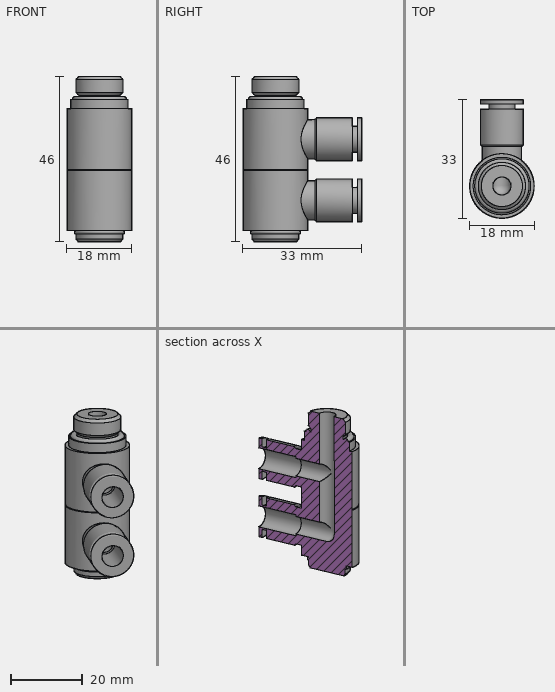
import cadquery as cq

total_height = 46.0
body_diameter = 18.0
body_bottom = 3.1
body_top = 37.0
joint_chamfer = 0.12

thread_diameter = 13.16
thread_root_diameter = 11.45
thread_chamfer = (thread_diameter - thread_root_diameter) / 2
thread_bottom = 41.55

plug_diameter = 13.1
plug_chamfer_height = 0.8
plug_chamfer_depth = 0.65

collar_diameter = 16.0
collar_top = 39.6

upper_ring_tube_radius = 0.95
upper_ring_outer_diameter = 15.15
upper_ring_top = 40.45
lower_ring_tube_radius = 0.5
lower_ring_outer_diameter = 14.0

outlet_pitch = 17.0
lower_outlet_z = 11.5
joint_z = lower_outlet_z + outlet_pitch / 2
outlet_heights = [lower_outlet_z, lower_outlet_z + outlet_pitch]
outlet_end = 24.0
flange_thickness = 1.2
sleeve_gap = 1.4
outlet_diameter = 12.0
sleeve_diameter = 7.3
outlet_neck_diameter = 11.0
outlet_shoulder = 10.95
outlet_chamfer = (outlet_diameter - outlet_neck_diameter) / 2
edge_fillet = 0.12

bore_diameter = 5.0
tube_diameter = 6.0


def cylinder_z(diameter, bottom, top):
    """Cylinder on the main axis between two heights."""
    return cq.Workplane("XY").workplane(offset=bottom).circle(diameter / 2).extrude(top - bottom)


def cylinder_y(diameter, height, start, end):
    """Cylinder along +Y at the given height between two Y positions."""
    plane = cq.Plane(origin=(0, start, height), xDir=(1, 0, 0), normal=(0, 1, 0))
    return cq.Workplane(plane).circle(diameter / 2).extrude(end - start)


def sealing_ring(outer_diameter, tube_radius, center_z):
    """O-ring of circular section around the main axis."""
    ring_radius = outer_diameter / 2 - tube_radius
    section_plane = cq.Plane(origin=(ring_radius, 0, center_z), xDir=(0, 0, 1), normal=(0, -1, 0))
    section = cq.Workplane(section_plane).circle(tube_radius)
    return section.revolve(360, (0, ring_radius), (1, ring_radius))


def make_main_body():
    """Two stacked sleeves with a fine V groove between them, the bottom plug and the threaded spigot."""
    lower_sleeve = cylinder_z(body_diameter, body_bottom, joint_z)
    lower_sleeve = lower_sleeve.faces(">Z").chamfer(joint_chamfer)
    upper_sleeve = cylinder_z(body_diameter, joint_z, body_top)
    upper_sleeve = upper_sleeve.faces("<Z").chamfer(joint_chamfer)
    plug = cylinder_z(plug_diameter, 0, body_bottom)
    plug = plug.faces("<Z").chamfer(plug_chamfer_height, plug_chamfer_depth)
    collar = cylinder_z(collar_diameter, body_top, collar_top)
    neck = cylinder_z(thread_root_diameter, body_top, total_height)
    thread = cylinder_z(thread_diameter, thread_bottom - thread_chamfer, total_height)
    thread = thread.faces("<Z or >Z").chamfer(thread_chamfer)
    upper_ring = sealing_ring(
        upper_ring_outer_diameter, upper_ring_tube_radius, upper_ring_top - upper_ring_tube_radius
    )
    lower_ring = sealing_ring(
        lower_ring_outer_diameter, lower_ring_tube_radius, body_bottom - lower_ring_tube_radius
    )
    body = lower_sleeve
    for piece in (upper_sleeve, plug, collar, neck, thread, upper_ring, lower_ring):
        body = body.union(piece)
    return body


def make_outlet(height):
    """Push-in outlet: neck, chamfered housing, release sleeve and its flange."""
    flange_start = outlet_end - flange_thickness
    housing_end = flange_start - sleeve_gap
    neck = cylinder_y(outlet_neck_diameter, height, 0, housing_end)
    housing = cylinder_y(outlet_diameter, height, outlet_shoulder, housing_end)
    housing = housing.faces("<Y").chamfer(outlet_chamfer)
    housing = housing.faces(">Y").edges().fillet(edge_fillet)
    sleeve = cylinder_y(sleeve_diameter, height, housing_end, flange_start)
    flange = cylinder_y(outlet_diameter, height, flange_start, outlet_end)
    flange = flange.faces(">Y").edges().fillet(edge_fillet)
    flange_back = cq.selectors.NearestToPointSelector((0, flange_start, height))
    root_edge = cq.selectors.RadiusNthSelector(0)
    flanged_sleeve = flange.union(sleeve).faces(flange_back).edges(root_edge).fillet(edge_fillet)
    return neck.union(housing).union(flanged_sleeve)


def make_outlet_passage(height):
    """Cross bore from the main axis that opens into the tube socket."""
    cross_bore = cylinder_y(bore_diameter, height, 0, outlet_end)
    tube_socket = cylinder_y(tube_diameter, height, outlet_shoulder, outlet_end)
    return cross_bore.union(tube_socket)


def make_main_passage():
    """Bore from the top down to a round end on the lower outlet axis."""
    round_end = cq.Workplane("XY").sphere(bore_diameter / 2).translate((0, 0, lower_outlet_z))
    return cylinder_z(bore_diameter, lower_outlet_z, total_height).union(round_end)


result = make_main_body()
for outlet_height in outlet_heights:
    result = result.union(make_outlet(outlet_height))
result = result.cut(make_main_passage())
for outlet_height in outlet_heights:
    result = result.cut(make_outlet_passage(outlet_height))